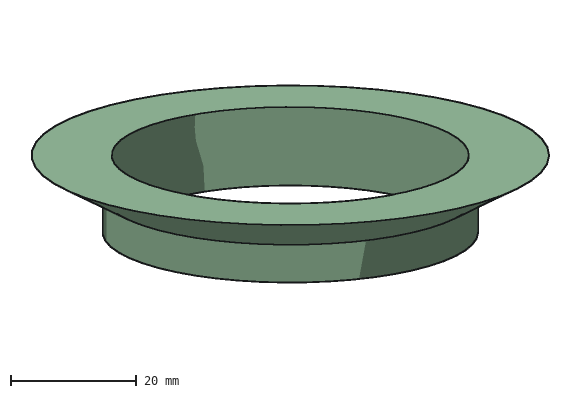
import cadquery as cq

flange_diameter = 82.3
total_height = 12.7

neck_diameter = 59.75
neck_height = 6.25

bore_top_diameter = 56.8
bore_bottom_diameter = 54.65

half_section = (
    cq.Workplane("XZ")
    .moveTo(bore_bottom_diameter / 2, 0)
    .lineTo(neck_diameter / 2, 0)
    .lineTo(neck_diameter / 2, neck_height)
    .lineTo(flange_diameter / 2, total_height)
    .lineTo(bore_top_diameter / 2, total_height)
    .close()
)

result = half_section.revolve(360, (0, 0, 0), (0, 1, 0))